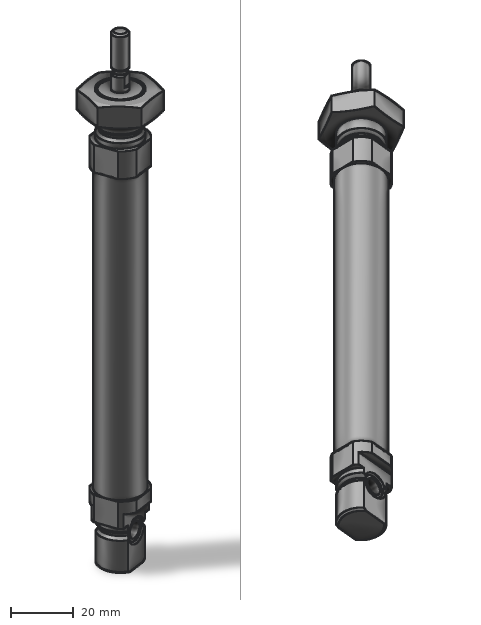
import cadquery as cq
import math

TOTAL_HEIGHT = 191.0
REAR_NECK_TOP = 17.2
TANG_TOP = 22.3
REAR_CAP_TOP = 27.0
FRONT_CAP_BOTTOM = 142.9
FRONT_CAP_TOP = 152.8
NUT_BOTTOM = 162.2
NUT_HEIGHT = 8.0
NUT_TOP = NUT_BOTTOM + NUT_HEIGHT

TUBE_DIAMETER = 17.4
CAP_DIAMETER = 19.7
CAP_ACROSS_FLATS = 17.5
NECK_DIAMETER = 16.0
FRONT_NECK_CHAMFER = 0.8
REAR_CHAMFER = 0.8
GROOVE_DIAMETER = 13.8
GROOVE_FLOOR = 1.0
FRONT_GROOVE_CENTER = 156.5
REAR_GROOVE_CENTER = 13.5
TANG_THICKNESS = 12.0
PIVOT_HEIGHT = 13.2
PIVOT_DIAMETER = 6.0
PIVOT_RECESS_FLOOR_DIAMETER = 8.0
PIVOT_RECESS_MOUTH_DIAMETER = 9.4

NUT_ACROSS_FLATS = 24.0
NUT_CHAMFER_DIAMETER = 23.5
NUT_CHAMFER_HEIGHT = 0.5

ROD_DIAMETER = 6.0
ROD_BOTTOM = FRONT_CAP_BOTTOM
SHOULDER_HEIGHT = 176.3
SHOULDER_DIAMETER = 4.8
UNDERCUT_DIAMETER = 4.2
UNDERCUT_TOP = 177.5
THREAD_BOTTOM = 178.2
THREAD_CHAMFER = 0.8
WRENCH_ACROSS_FLATS = 5.0
WRENCH_BOTTOM = 171.9


def cylinder(diameter, bottom, top):
    """Cylinder on the Z axis between two heights."""
    return cq.Workplane("XY").workplane(offset=bottom).circle(diameter / 2).extrude(top - bottom)


def slab(x_size, y_size, bottom, top):
    """Box centred on the Z axis between two heights."""
    return cq.Workplane("XY").workplane(offset=bottom).rect(x_size, y_size).extrude(top - bottom)


def end_cap(bottom, top):
    """Round cap with four flats."""
    flats = slab(CAP_ACROSS_FLATS, CAP_ACROSS_FLATS, bottom, top)
    return cylinder(CAP_DIAMETER, bottom, top).intersect(flats)


def neck_groove(center):
    """Ring with 45 degree sides that cuts a groove into a neck."""
    depth = (NECK_DIAMETER - GROOVE_DIAMETER) / 2
    floor_half = GROOVE_FLOOR / 2
    mouth_half = floor_half + depth
    return (
        cq.Workplane("XZ")
        .moveTo(GROOVE_DIAMETER / 2, center - floor_half)
        .lineTo(NECK_DIAMETER / 2, center - mouth_half)
        .lineTo(NECK_DIAMETER / 2, center + mouth_half)
        .lineTo(GROOVE_DIAMETER / 2, center + floor_half)
        .close()
        .revolve(360, (0, 0, 0), (0, 1, 0))
    )


def pivot_hole():
    """Cross hole along X with a 45 degree conical, flat-bottomed recess in both tang faces."""
    face = TANG_THICKNESS / 2
    radius = PIVOT_DIAMETER / 2
    mouth_radius = PIVOT_RECESS_MOUTH_DIAMETER / 2
    floor_radius = PIVOT_RECESS_FLOOR_DIAMETER / 2
    depth = mouth_radius - floor_radius
    return (
        cq.Workplane("XZ", origin=(0, 0, PIVOT_HEIGHT))
        .moveTo(-face, 0)
        .lineTo(-face, mouth_radius)
        .lineTo(-face + depth, floor_radius)
        .lineTo(-face + depth, radius)
        .lineTo(face - depth, radius)
        .lineTo(face - depth, floor_radius)
        .lineTo(face, mouth_radius)
        .lineTo(face, 0)
        .close()
        .revolve(360, (0, 0, 0), (1, 0, 0))
    )


def make_housing():
    """Tube, two end caps, front neck and rear pivot tang in one solid."""
    rear_neck = cylinder(NECK_DIAMETER, 0, REAR_NECK_TOP).faces("<Z").chamfer(REAR_CHAMFER)
    rear_neck = rear_neck.cut(neck_groove(REAR_GROOVE_CENTER))
    rear_end = end_cap(REAR_NECK_TOP, REAR_CAP_TOP).union(rear_neck)
    tang = slab(TANG_THICKNESS, CAP_DIAMETER, 0, TANG_TOP)
    above_tang = slab(CAP_DIAMETER, CAP_DIAMETER, TANG_TOP, REAR_CAP_TOP)
    rear_end = rear_end.intersect(tang.union(above_tang)).cut(pivot_hole())

    front_neck = cylinder(NECK_DIAMETER, FRONT_CAP_TOP, NUT_TOP).faces(">Z").chamfer(FRONT_NECK_CHAMFER)
    front_neck = front_neck.cut(neck_groove(FRONT_GROOVE_CENTER))

    tube = cylinder(TUBE_DIAMETER, REAR_CAP_TOP, FRONT_CAP_BOTTOM)
    front_cap = end_cap(FRONT_CAP_BOTTOM, FRONT_CAP_TOP)
    rod_bore = cylinder(ROD_DIAMETER, ROD_BOTTOM, NUT_TOP)
    return rear_end.union(tube).union(front_cap).union(front_neck).cut(rod_bore)


def make_nut():
    """Hexagon nut with two flats facing X and its corners chamfered at both ends."""
    corner_diameter = NUT_ACROSS_FLATS / math.cos(math.pi / 6)
    hexagon = (
        cq.Workplane("XY")
        .workplane(offset=NUT_BOTTOM)
        .polygon(6, corner_diameter)
        .extrude(NUT_HEIGHT)
        .rotate((0, 0, 0), (0, 0, 1), 30)
    )
    corner_radius = corner_diameter / 2
    end_radius = NUT_CHAMFER_DIAMETER / 2
    corner_envelope = (
        cq.Workplane("XZ")
        .moveTo(0, NUT_BOTTOM)
        .lineTo(end_radius, NUT_BOTTOM)
        .lineTo(corner_radius, NUT_BOTTOM + NUT_CHAMFER_HEIGHT)
        .lineTo(corner_radius, NUT_TOP - NUT_CHAMFER_HEIGHT)
        .lineTo(end_radius, NUT_TOP)
        .lineTo(0, NUT_TOP)
        .close()
        .revolve(360, (0, 0, 0), (0, 1, 0))
    )
    return hexagon.intersect(corner_envelope).cut(cylinder(NECK_DIAMETER, NUT_BOTTOM, NUT_TOP))


def make_rod():
    """Stepped rod with a thread end, an undercut and two wrench flats facing X."""
    radius = ROD_DIAMETER / 2
    shoulder_radius = SHOULDER_DIAMETER / 2
    undercut_radius = UNDERCUT_DIAMETER / 2
    shoulder_chamfer = radius - shoulder_radius
    rod = (
        cq.Workplane("XZ")
        .moveTo(0, ROD_BOTTOM)
        .lineTo(radius, ROD_BOTTOM)
        .lineTo(radius, SHOULDER_HEIGHT - shoulder_chamfer)
        .lineTo(shoulder_radius, SHOULDER_HEIGHT)
        .lineTo(undercut_radius, SHOULDER_HEIGHT)
        .lineTo(undercut_radius, UNDERCUT_TOP)
        .lineTo(radius, THREAD_BOTTOM)
        .lineTo(radius, TOTAL_HEIGHT - THREAD_CHAMFER)
        .lineTo(radius - THREAD_CHAMFER, TOTAL_HEIGHT)
        .lineTo(0, TOTAL_HEIGHT)
        .close()
        .revolve(360, (0, 0, 0), (0, 1, 0))
    )
    wrench_zone = slab(ROD_DIAMETER, ROD_DIAMETER, WRENCH_BOTTOM, SHOULDER_HEIGHT)
    between_flats = slab(WRENCH_ACROSS_FLATS, ROD_DIAMETER, WRENCH_BOTTOM, SHOULDER_HEIGHT)
    return rod.cut(wrench_zone.cut(between_flats))


housing = make_housing()
nut = make_nut()
rod = make_rod()

result = cq.Compound.makeCompound([housing.val(), nut.val(), rod.val()])